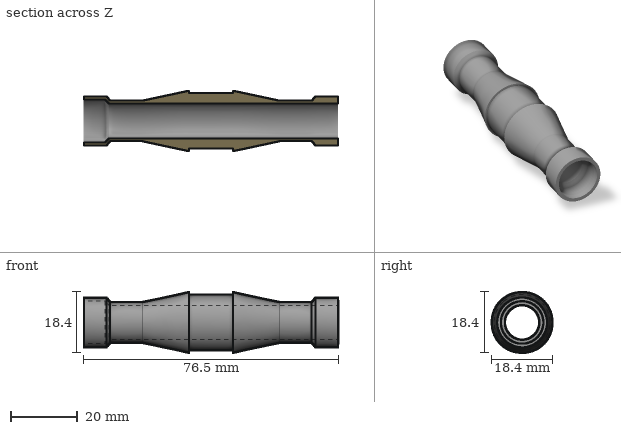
import cadquery as cq


overall_length = 76.5
lip_length = 0.1
body_length = overall_length - lip_length

socket_diameter = 15.0
neck_diameter = 12.35
barb_diameter = 18.35
middle_diameter = 16.85

socket_length = 6.75
flare_length = 1.15
barb_length = 14.0
middle_length = 13.2

socket_bore = 12.8
through_bore = 10.3
socket_depth = 6.4
bore_taper_length = 1.15

body_start = -overall_length / 2
body_end = body_start + body_length
body_centre = body_start + body_length / 2


def outer_profile():
    """(distance from body centre, radius) points of one half, from middle band to end face."""
    half_length = body_length / 2
    barb_base = middle_length / 2
    barb_tip = barb_base + barb_length
    socket_start = half_length - socket_length
    return [
        (barb_base, middle_diameter / 2),
        (barb_base, barb_diameter / 2),
        (barb_tip, neck_diameter / 2),
        (socket_start - flare_length, neck_diameter / 2),
        (socket_start, socket_diameter / 2),
        (half_length, socket_diameter / 2),
    ]


def revolve_about_axis(points):
    """Revolve a closed (x, radius) outline about the X axis."""
    return cq.Workplane("XY").polyline(points).close().revolve(360, (0, 0, 0), (1, 0, 0))


def outer_body():
    """Solid outside shape: middle band, two tapered barbs, two necks and two flared ends."""
    half = outer_profile()
    right_side = [(body_centre + distance, radius) for distance, radius in half]
    left_side = [(body_centre - distance, radius) for distance, radius in reversed(half)]
    return revolve_about_axis([(body_start, 0)] + left_side + right_side + [(body_end, 0)])


def end_lip():
    """Thin raised disc on the +X end face; the through bore turns it into a ring."""
    return cq.Workplane("YZ", origin=(body_end, 0, 0)).circle(socket_bore / 2).extrude(lip_length)


def bore():
    """Open -X socket tapering down to the through bore."""
    socket_floor = body_start + socket_depth
    lip_end = body_end + lip_length
    return revolve_about_axis([
        (body_start, 0),
        (body_start, socket_bore / 2),
        (socket_floor, socket_bore / 2),
        (socket_floor + bore_taper_length, through_bore / 2),
        (lip_end, through_bore / 2),
        (lip_end, 0),
    ])


result = outer_body().union(end_lip()).cut(bore())